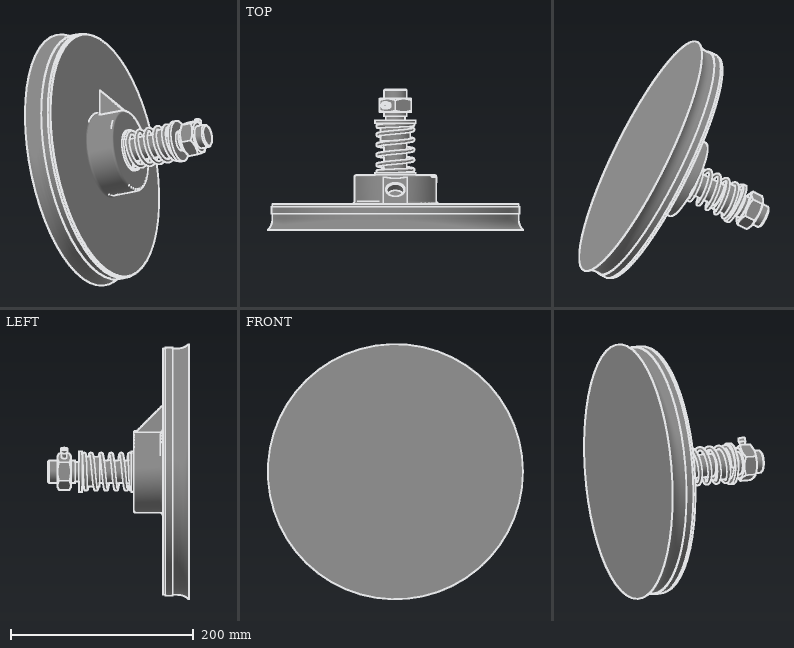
import cadquery as cq
import math

LENGTH = 154.51

RIM_DIA = 279.48
BODY_DIA = 270.0
BAND_DIA = 272.0
RIM_LAND = 0.5
LIP_DEPTH = 2.8
FLARE_END = 12.0
FLARE_RADIUS = 16.0
BAND_START = 18.0
BAND_END = 26.0
DISC_BACK = 29.1
BACK_CHAMFER = 0.6

HUB_DIA = 90.0
HUB_END = 60.6
HUB_FILLET = 2.5
BOSS_WIDTH = 26.0
BOSS_TOP = 72.7
PORT_POSITION = 44.6
PORT_DIA = 19.0
PORT_MOUTH_DIA = 21.0
PORT_DEPTH = 10.8
DRILL_POINT_ANGLE = 118.0

STEM_DIA = 25.0
STEM_CHAMFER = 1.5
NECK_DIA = 21.6
NECK_END = 124.6
COLLAR_DIA = 33.0
COLLAR_START = 97.8

WASHER_DIA = 45.0
LOWER_WASHER_END = 63.1
UPPER_WASHER_START = 117.0
UPPER_WASHER_END = 120.5

WIRE_DIA = 4.0
COIL_DIA = 38.0
COIL_PITCH = 11.0
COIL_TURNS = 4.25
COIL_START = 66.1
CLOSED_TURNS = 0.75
CLOSED_PITCH = WIRE_DIA
POINTS_PER_TURN = 16

NUT_FLATS = 35.0
NUT_FACE_DIA = 33.0
NUT_START = 128.9
NUT_THICKNESS = 15.5
NUT_CHAMFER_ANGLE = 30.0

NIPPLE_ANGLE = 25.5
NIPPLE_SHANK_DIA = 6.0
NIPPLE_HEAD_DIA = 7.6
NIPPLE_HEAD_START = 23.3
NIPPLE_END = 27.5
NIPPLE_SOCKET_FLATS = 4.0
NIPPLE_SOCKET_DEPTH = 2.0


def cylinder(diameter, start, end):
    """Cylinder on the Y axis between two axial positions."""
    return cq.Workplane("XZ", origin=(0, start, 0)).circle(diameter / 2).extrude(start - end)


def make_disc():
    """Revolved disc with a flared front rim and a raised band."""
    body_radius = BODY_DIA / 2
    band_radius = BAND_DIA / 2

    def flare_radius(y):
        return body_radius + FLARE_RADIUS - math.sqrt(FLARE_RADIUS**2 - (FLARE_END - y) ** 2)

    flare_middle = (LIP_DEPTH + FLARE_END) / 2
    return (
        cq.Workplane("XY")
        .lineTo(RIM_DIA / 2, 0)
        .lineTo(RIM_DIA / 2, RIM_LAND)
        .lineTo(flare_radius(LIP_DEPTH), LIP_DEPTH)
        .threePointArc((flare_radius(flare_middle), flare_middle), (body_radius, FLARE_END))
        .lineTo(body_radius, BAND_START)
        .lineTo(band_radius, BAND_START)
        .lineTo(band_radius, BAND_END)
        .lineTo(body_radius, BAND_END)
        .lineTo(body_radius, DISC_BACK - BACK_CHAMFER)
        .lineTo(body_radius - BACK_CHAMFER, DISC_BACK)
        .lineTo(0, DISC_BACK)
        .close()
        .revolve(360, (0, 0, 0), (0, 1, 0))
    )


def make_hub():
    """Revolved hub, rounded at its end and where it meets the disc."""
    radius = HUB_DIA / 2
    bulge = HUB_FILLET * (1 - math.sqrt(0.5))
    return (
        cq.Workplane("XY")
        .moveTo(0, DISC_BACK)
        .lineTo(radius + HUB_FILLET, DISC_BACK)
        .threePointArc((radius + bulge, DISC_BACK + bulge), (radius, DISC_BACK + HUB_FILLET))
        .lineTo(radius, HUB_END - HUB_FILLET)
        .threePointArc((radius - bulge, HUB_END - bulge), (radius - HUB_FILLET, HUB_END))
        .lineTo(0, HUB_END)
        .close()
        .revolve(360, (0, 0, 0), (0, 1, 0))
    )


def make_boss():
    """Wedge on the upper side of the hub, its outer face sloped at 45 degrees."""
    crest = HUB_END - HUB_FILLET
    return (
        cq.Workplane("YZ")
        .moveTo(DISC_BACK, 0)
        .lineTo(DISC_BACK, BOSS_TOP)
        .lineTo(crest, BOSS_TOP - (crest - DISC_BACK))
        .lineTo(crest, 0)
        .close()
        .extrude(BOSS_WIDTH / 2, both=True)
    )


def make_port():
    """Countersunk blind hole with a drill point, square to the sloped face of the boss."""
    mouth_radius = PORT_MOUTH_DIA / 2
    bore_radius = PORT_DIA / 2
    center = cq.Vector(0, PORT_POSITION, BOSS_TOP - (PORT_POSITION - DISC_BACK))
    inward = cq.Vector(0, -1, -1)
    bore = cq.Solid.makeCylinder(bore_radius, PORT_DEPTH, center, inward)
    countersink = cq.Solid.makeCone(mouth_radius, bore_radius, mouth_radius - bore_radius, center, inward)
    point_depth = bore_radius / math.tan(math.radians(DRILL_POINT_ANGLE / 2))
    bore_end = center + inward.normalized() * PORT_DEPTH
    drill_point = cq.Solid.makeCone(bore_radius, 0, point_depth, bore_end, inward)
    return cq.Workplane(bore.fuse(countersink, drill_point))


def make_stem():
    """Stepped stem with the collar and both washers."""
    shaft = cylinder(STEM_DIA, HUB_END, UPPER_WASHER_START)
    collar = cylinder(COLLAR_DIA, COLLAR_START, UPPER_WASHER_START)
    lower_washer = cylinder(WASHER_DIA, HUB_END, LOWER_WASHER_END)
    upper_washer = cylinder(WASHER_DIA, UPPER_WASHER_START, UPPER_WASHER_END)
    neck = cylinder(NECK_DIA, UPPER_WASHER_END, NECK_END)
    end = cylinder(STEM_DIA, NECK_END, LENGTH).faces(">Y").chamfer(STEM_CHAMFER)
    return shaft.union(collar).union(lower_washer).union(upper_washer).union(neck).union(end)


def make_spring():
    """Coil spring whose closed end turns sink into the washers."""
    total_turns = COIL_TURNS + 2 * CLOSED_TURNS
    start = COIL_START - CLOSED_TURNS * CLOSED_PITCH

    def center_point(turn):
        open_turns = min(max(turn - CLOSED_TURNS, 0), COIL_TURNS)
        y = start + open_turns * COIL_PITCH + (turn - open_turns) * CLOSED_PITCH
        angle = 2 * math.pi * (turn - CLOSED_TURNS + 0.25)
        return cq.Vector(COIL_DIA / 2 * math.sin(angle), y, COIL_DIA / 2 * math.cos(angle))

    count = round(total_turns * POINTS_PER_TURN)
    points = [center_point(total_turns * i / count) for i in range(count + 1)]
    edge = cq.Edge.makeSpline(points)
    section = cq.Workplane(cq.Plane(points[0], normal=edge.tangentAt(0))).circle(WIRE_DIA / 2)
    return section.sweep(cq.Workplane(edge), isFrenet=True)


def make_nut():
    """Hexagon nut with two flats facing +X and -X and chamfered corners."""
    corner_radius = NUT_FLATS / math.sqrt(3)
    face_radius = NUT_FACE_DIA / 2
    drop = (corner_radius - face_radius) * math.tan(math.radians(NUT_CHAMFER_ANGLE))
    nut_end = NUT_START + NUT_THICKNESS
    hexagon = (
        cq.Workplane("XZ", origin=(0, NUT_START, 0))
        .transformed(rotate=(0, 0, 90))
        .polygon(6, 2 * corner_radius)
        .extrude(-NUT_THICKNESS)
    )
    envelope = (
        cq.Workplane("XY")
        .moveTo(0, NUT_START)
        .lineTo(face_radius, NUT_START)
        .lineTo(corner_radius, NUT_START + drop)
        .lineTo(corner_radius, nut_end - drop)
        .lineTo(face_radius, nut_end)
        .lineTo(0, nut_end)
        .close()
        .revolve(360, (0, 0, 0), (0, 1, 0))
    )
    return hexagon.intersect(envelope)


def make_nipple():
    """Headed nipple with a hexagon socket, pointing radially out of the nut, up and toward -X."""
    tilt = math.radians(NIPPLE_ANGLE)
    outward = cq.Vector(-math.sin(tilt), 0, math.cos(tilt))
    center = cq.Vector(0, NUT_START + NUT_THICKNESS / 2, 0)
    shank = cq.Solid.makeCylinder(NIPPLE_SHANK_DIA / 2, NIPPLE_HEAD_START, center, outward)
    head = cq.Solid.makeCylinder(
        NIPPLE_HEAD_DIA / 2,
        NIPPLE_END - NIPPLE_HEAD_START,
        center + outward * NIPPLE_HEAD_START,
        outward,
    )
    socket = (
        cq.Workplane(cq.Plane(center + outward * NIPPLE_END, xDir=(0, 1, 0), normal=outward))
        .polygon(6, NIPPLE_SOCKET_FLATS * 2 / math.sqrt(3))
        .extrude(-NIPPLE_SOCKET_DEPTH)
    )
    return cq.Workplane(shank.fuse(head)).cut(socket)


wheel = make_disc().union(make_hub()).union(make_boss()).cut(make_port())
stem = make_stem().union(make_nut()).union(make_nipple()).union(make_spring())
result = wheel.union(stem)